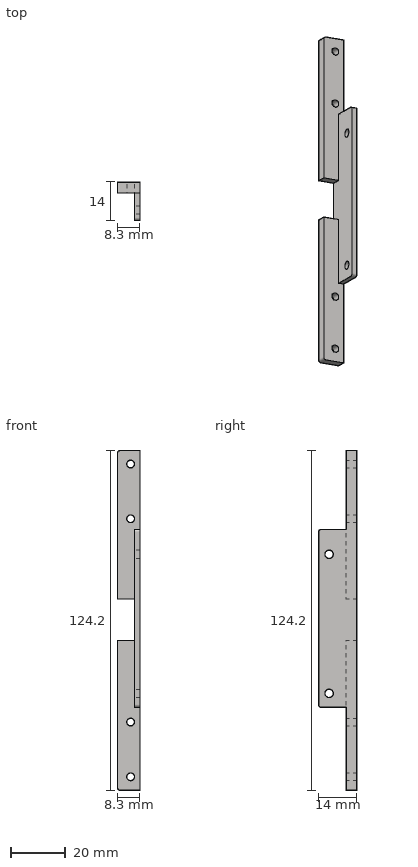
import cadquery as cq

WIDTH = 8.3
DEPTH = 14.0
HEIGHT = 124.2

BAR_DEPTH = 4.0
PLATE_THICKNESS = 2.1
PLATE_HEIGHT = 65.1
PLATE_CENTER_Z = 0.7
CORNER_RADIUS = 1.0

GAP_HEIGHT = 15.0
GAP_CENTER_Z = 0.2

BAR_HOLE_DIAMETER = 2.7
BAR_HOLE_X = 4.8
BAR_HOLE_END_MARGIN = 5.0
BAR_HOLE_PITCH = 20.0

PLATE_HOLE_DIAMETER = 3.0
PLATE_HOLE_Y = 3.8
PLATE_HOLE_SPACING = 50.8
PLATE_HOLE_CENTER_Z = -1.2


def box(x_size, y_size, z_size, x_start, y_start, z_center):
    """Box placed by its left and front faces and its centre height."""
    solid = cq.Workplane("XY").box(x_size, y_size, z_size, centered=(False, False, True))
    return solid.translate((x_start, y_start, z_center))


def make_bar():
    """Bar with its two left-hand end corners rounded."""
    bar = box(WIDTH, BAR_DEPTH, HEIGHT, 0, DEPTH - BAR_DEPTH, 0)
    return bar.edges("|Y and <X").fillet(CORNER_RADIUS)


def make_gap():
    """Volume removed from the bar, leaving the plate's thickness."""
    gap_width = WIDTH - PLATE_THICKNESS
    return box(gap_width, BAR_DEPTH, GAP_HEIGHT, 0, DEPTH - BAR_DEPTH, GAP_CENTER_Z)


def make_plate():
    """Thin plate along the right side, rounded at its two front corners."""
    plate = box(PLATE_THICKNESS, DEPTH, PLATE_HEIGHT, WIDTH - PLATE_THICKNESS, 0, PLATE_CENTER_Z)
    return plate.edges("|X and <Y").fillet(CORNER_RADIUS)


def make_bar_holes():
    """Two through holes near each end of the bar."""
    outer_z = HEIGHT / 2 - BAR_HOLE_END_MARGIN
    inner_z = outer_z - BAR_HOLE_PITCH
    centers = [(BAR_HOLE_X, z) for z in (-outer_z, -inner_z, inner_z, outer_z)]
    return cq.Workplane("XZ").pushPoints(centers).circle(BAR_HOLE_DIAMETER / 2).extrude(-DEPTH)


def make_plate_holes():
    """Two through holes in the free part of the plate."""
    half_spacing = PLATE_HOLE_SPACING / 2
    centers = [(PLATE_HOLE_Y, PLATE_HOLE_CENTER_Z + side * half_spacing) for side in (-1, 1)]
    return cq.Workplane("YZ").pushPoints(centers).circle(PLATE_HOLE_DIAMETER / 2).extrude(WIDTH)


result = make_bar().cut(make_gap()).union(make_plate())
result = result.cut(make_bar_holes()).cut(make_plate_holes())